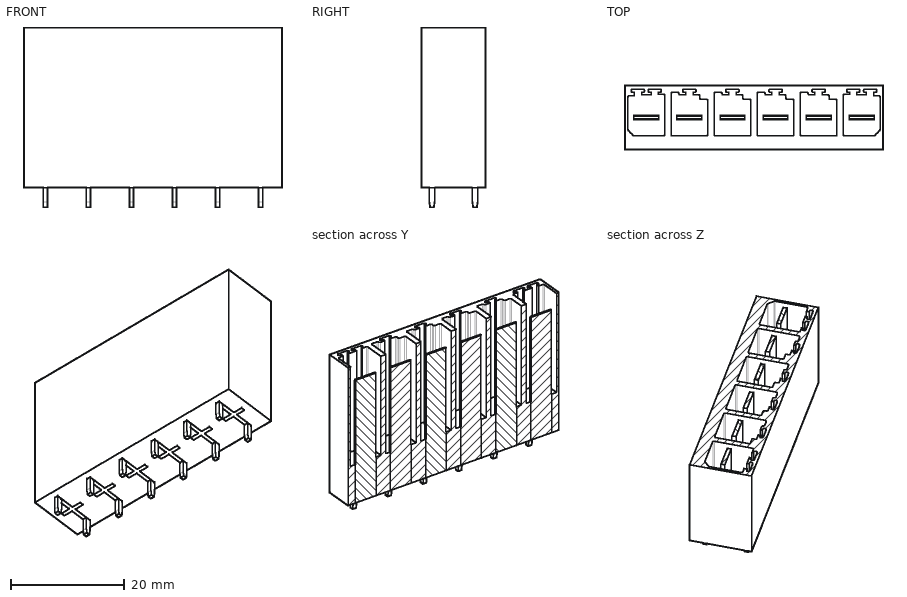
import cadquery as cq

positions = 6
pitch = 7.62
housing_width = positions * pitch
housing_depth = 11.4
housing_height = 28.3
floor_thickness = 8.0

pocket_depth = housing_height - floor_thickness
pocket_half_width = 3.25
pocket_front = -3.25
pocket_corner_chamfer = 1.0
pocket_edge_radius = 0.22
ledge = 4.0
end_shoulder_outer = 3.85
end_shoulder_inner = 4.15
middle_shoulder_left = 4.45
middle_shoulder_right = 3.2
middle_step = 1.85

key_neck_width = 1.3
key_head_width = 2.35
key_head_front = 4.45
key_head_back = 5.0
key_head_radius = 0.25
end_key_offset = 1.5

sheet_thickness = 0.78
blade_width = 4.4
blade_top = housing_height - 3.05
blade_tip_length = 0.7
blade_tip_thickness = 0.5
pin_spacing = 7.62
pin_width = 1.0
pin_length = 3.5
pin_tip_length = 1.0
pin_tip_width = 0.7
bar_height = 2.0


def position_x(index):
    return (index - (positions - 1) / 2) * pitch


def pocket_block(width, front, back, center_x):
    """A block of pocket depth that spans front to back in Y, centred on center_x."""
    block = cq.Workplane("XY").box(width, back - front, pocket_depth, centered=(True, False, False))
    return block.translate((center_x, front, floor_thickness))


def key_slot(offset):
    neck = pocket_block(key_neck_width, 0, key_head_back, offset)
    head = pocket_block(key_head_width, key_head_front, key_head_back, offset)
    return neck.union(head.edges("|Z").fillet(key_head_radius))


def pocket(outline, key_offsets):
    base = cq.Workplane("XY").workplane(offset=floor_thickness)
    body = base.polyline(outline).close().extrude(pocket_depth)
    rounding_limit = (end_key_offset + middle_step) / 2
    rounded_edges = body.edges("|Z").filter(lambda edge: abs(edge.Center().x) > rounding_limit)
    body = rounded_edges.fillet(pocket_edge_radius)
    for offset in key_offsets:
        body = body.union(key_slot(offset))
    return body


def middle_pocket():
    outline = [
        (-pocket_half_width, pocket_front),
        (pocket_half_width, pocket_front),
        (pocket_half_width, middle_shoulder_right),
        (middle_step, middle_shoulder_right),
        (middle_step, ledge),
        (-middle_step, ledge),
        (-middle_step, middle_shoulder_left),
        (-pocket_half_width, middle_shoulder_left),
    ]
    return pocket(outline, [0])


def left_end_pocket():
    outline = [
        (-pocket_half_width + pocket_corner_chamfer, pocket_front),
        (pocket_half_width, pocket_front),
        (pocket_half_width, end_shoulder_inner),
        (end_key_offset, end_shoulder_inner),
        (end_key_offset, ledge),
        (-end_key_offset, ledge),
        (-end_key_offset, end_shoulder_outer),
        (-pocket_half_width, end_shoulder_outer),
        (-pocket_half_width, pocket_front + pocket_corner_chamfer),
    ]
    return pocket(outline, [-end_key_offset, end_key_offset])


def blade():
    side = sheet_thickness / 2
    tip = blade_tip_thickness / 2
    inset = side - tip
    shoulder = blade_top - blade_tip_length
    lead_in_radius = (blade_tip_length**2 + inset**2) / (2 * inset)
    profile = (
        cq.Workplane("YZ")
        .moveTo(-side, 0)
        .lineTo(side, 0)
        .lineTo(side, shoulder)
        .radiusArc((tip, blade_top), -lead_in_radius)
        .lineTo(-tip, blade_top)
        .radiusArc((-side, shoulder), -lead_in_radius)
        .close()
    )
    return profile.extrude(blade_width / 2, both=True)


def pin(y):
    tip_start = pin_tip_length - pin_length
    outline = [
        (y - pin_width / 2, 0),
        (y + pin_width / 2, 0),
        (y + pin_width / 2, tip_start),
        (y + pin_tip_width / 2, -pin_length),
        (y - pin_tip_width / 2, -pin_length),
        (y - pin_width / 2, tip_start),
    ]
    return cq.Workplane("YZ").polyline(outline).close().extrude(sheet_thickness / 2, both=True)


def contact(index):
    bar = cq.Workplane("XY").box(
        sheet_thickness, pin_spacing + pin_width, bar_height, centered=(True, True, False)
    )
    body = blade().union(bar)
    for y in (-pin_spacing / 2, pin_spacing / 2):
        body = body.union(pin(y))
    return body.translate((position_x(index), 0, 0))


def housing(fitted_contacts):
    body = cq.Workplane("XY").box(
        housing_width, housing_depth, housing_height, centered=(True, True, False)
    )
    end_cut = left_end_pocket()
    middle_cut = middle_pocket()
    last = positions - 1
    body = body.cut(end_cut.translate((position_x(0), 0, 0)))
    body = body.cut(end_cut.mirror("YZ").translate((position_x(last), 0, 0)))
    for index in range(1, last):
        body = body.cut(middle_cut.translate((position_x(index), 0, 0)))
    for fitted in fitted_contacts:
        body = body.cut(fitted)
    return body


contacts = [contact(index) for index in range(positions)]
housing_body = housing(contacts)

result = cq.Compound.makeCompound(
    [housing_body.solids().val(), *[item.solids().val() for item in contacts]]
)